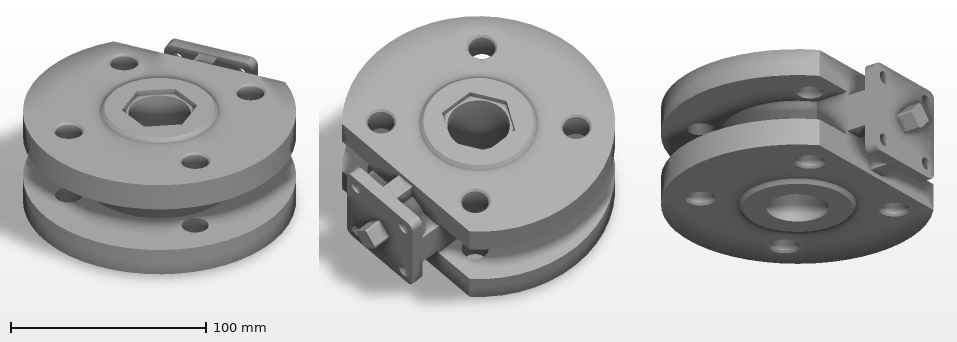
import cadquery as cq

total_length = 149.0
total_height = 58.4
flange_diameter = 139.9
flange_thickness = 14.8
flat_y = 51.0
raised_face_height = 2.1
raised_face_diameter = 60.6
raised_face_top_diameter = raised_face_diameter - 2 * raised_face_height
flange_top_z = total_height / 2 - raised_face_height
body_diameter = 79.9

bore_diameter = 32.0
hex_across_flats = 33.8
hex_depth = 3.0

bolt_spacing = 70.6
bolt_hole_diameter = 13.9
bolt_chamfer = 1.0

stem_end_y = total_length - flange_diameter / 2
stem_length = 9.8
pad_end_y = stem_end_y - stem_length
pad_thickness = 6.9
pad_start_y = pad_end_y - pad_thickness
pad_width = 49.3
pad_height = 49.8
pad_corner_radius = 4.0
pad_hole_spacing = 35.5
pad_hole_diameter = 6.5
neck_width = pad_width
neck_height = 48.9
neck_core_diameter = 34.0
neck_upright_width = 10.1
neck_crossbar_height = 20.0
stem_diameter = 13.9
stem_across_flats = 10.7


def plane_at_y(y):
    """Work plane facing +Y, with local x along -X and local y along +Z."""
    return cq.Workplane(cq.Plane(origin=(0, y, 0), xDir=(-1, 0, 0), normal=(0, 1, 0)))


def bolt_cutter():
    """Through hole with a countersink at the upper outer flange face."""
    sink_diameter = bolt_hole_diameter + 2 * bolt_chamfer
    hole = cq.Workplane("XY").circle(bolt_hole_diameter / 2).extrude(flange_top_z)
    sink = (
        cq.Workplane("XY", origin=(0, 0, flange_top_z))
        .circle(sink_diameter / 2)
        .extrude(-sink_diameter / 2, taper=45)
    )
    return hole.union(sink)


def upper_flange():
    """Disc with one flat edge, four bolt holes and a conical raised face."""
    disc = (
        cq.Workplane("XY", origin=(0, 0, flange_top_z - flange_thickness))
        .circle(flange_diameter / 2)
        .extrude(flange_thickness)
    )
    keep = cq.Workplane("XY").box(flange_diameter, flange_diameter, total_height)
    disc = disc.intersect(keep.translate((0, flat_y - flange_diameter / 2, 0)))
    raised_face = (
        cq.Workplane("XY", origin=(0, 0, flange_top_z))
        .circle(raised_face_diameter / 2)
        .workplane(offset=raised_face_height)
        .circle(raised_face_top_diameter / 2)
        .loft()
    )
    cutter = bolt_cutter()
    for x in (-bolt_spacing / 2, bolt_spacing / 2):
        for y in (-bolt_spacing / 2, bolt_spacing / 2):
            disc = disc.cut(cutter.translate((x, y, 0)))
    return disc.union(raised_face)


def neck():
    """Block between the flanges, continued to the pad as a cross around a round core."""
    gap = 2 * (flange_top_z - flange_thickness)
    length = pad_start_y - flat_y
    block = plane_at_y(0).rect(neck_width, gap).extrude(flat_y)
    core = plane_at_y(flat_y).circle(neck_core_diameter / 2).extrude(length)
    upright = plane_at_y(flat_y).rect(neck_upright_width, neck_height).extrude(length)
    crossbar = plane_at_y(flat_y).rect(neck_width, neck_crossbar_height).extrude(length)
    return block.union(core).union(upright).union(crossbar)


def pad():
    """Rounded mounting plate with four through holes."""
    return (
        plane_at_y(pad_start_y)
        .rect(pad_width, pad_height)
        .extrude(pad_thickness)
        .edges("|Y")
        .fillet(pad_corner_radius)
        .faces(">Y")
        .workplane(origin=(0, pad_end_y, 0))
        .rect(pad_hole_spacing, pad_hole_spacing, forConstruction=True)
        .vertices()
        .hole(pad_hole_diameter)
    )


def stem():
    """Square drive set on its corner, the corners rounded by the stem diameter."""
    square = (
        plane_at_y(pad_end_y)
        .transformed(rotate=(0, 0, 45))
        .rect(stem_across_flats, stem_across_flats)
        .extrude(stem_length)
    )
    return square.intersect(plane_at_y(pad_end_y).circle(stem_diameter / 2).extrude(stem_length))


flange = upper_flange()
body = cq.Workplane("XY").circle(body_diameter / 2).extrude(flange_top_z, both=True)
bore = cq.Workplane("XY").circle(bore_diameter / 2).extrude(total_height / 2, both=True)
hex_socket = (
    cq.Workplane("XY", origin=(0, 0, total_height / 2))
    .polygon(6, hex_across_flats, circumscribed=True)
    .extrude(-hex_depth)
)

result = (
    body.union(flange)
    .union(flange.mirror("XY"))
    .union(neck())
    .union(pad())
    .union(stem())
    .cut(bore)
    .cut(hex_socket)
)